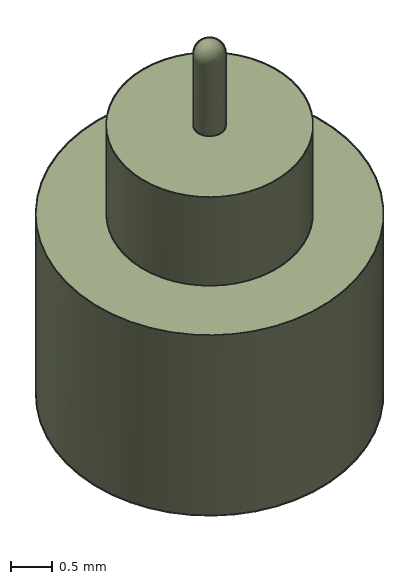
import cadquery as cq

total_height = 5.95
body_diameter = 4.2
body_height = 3.05
collar_diameter = 2.5
collar_height = 1.5
insulator_diameter = 1.95
pin_diameter = 0.4

collar_top = body_height + collar_height
pin_radius = pin_diameter / 2
dome_base = total_height - pin_radius


def cylinder(diameter, bottom, top):
    """Upright cylinder on the Z axis between two levels."""
    return cq.Workplane("XY").workplane(offset=bottom).circle(diameter / 2).extrude(top - bottom)


body = cylinder(body_diameter, 0, body_height)
collar = cylinder(collar_diameter, body_height, collar_top)
shell = body.union(collar)

insulator = cylinder(insulator_diameter, body_height, collar_top)

pin_shank = cylinder(pin_diameter, collar_top, dome_base)
pin_tip = cq.Workplane("XY").sphere(pin_radius).translate((0, 0, dome_base))
pin = pin_shank.union(pin_tip)

result = shell.cut(insulator).union(insulator, clean=False).union(pin, clean=False)